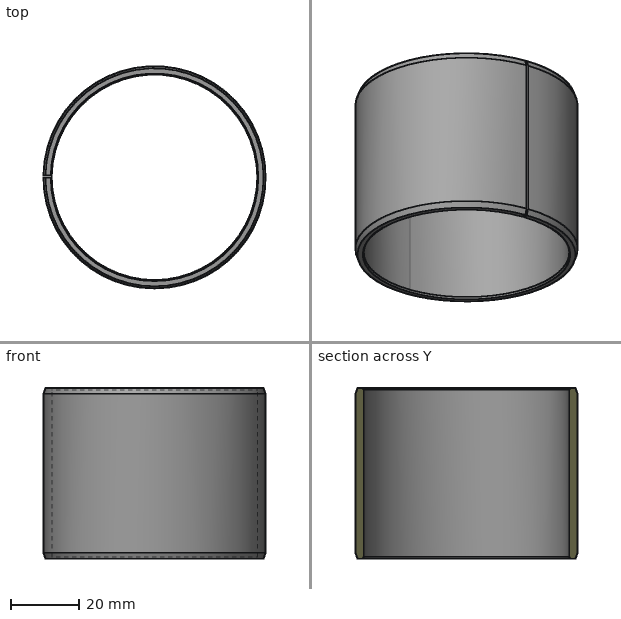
import cadquery as cq
import math

outer_diameter = 65.0
wall_thickness = 2.5
length = 50.0
outer_chamfer_length = 1.8
outer_chamfer_angle = 20.0
inner_chamfer_length = 0.6
inner_chamfer_angle = 30.0
slit_angle = 1.0

outer_radius = outer_diameter / 2
inner_radius = outer_radius - wall_thickness


def chamfer_depth(chamfer_length, angle):
    """Radial depth of a chamfer of the given axial length and angle from the axis."""
    return chamfer_length * math.tan(math.radians(angle))


def chamfered_sleeve():
    """Full tube around Z, chamfered outside and inside at both ends."""
    outer_end_radius = outer_radius - chamfer_depth(outer_chamfer_length, outer_chamfer_angle)
    inner_end_radius = inner_radius + chamfer_depth(inner_chamfer_length, inner_chamfer_angle)
    wall_section = [
        (inner_end_radius, 0),
        (outer_end_radius, 0),
        (outer_radius, outer_chamfer_length),
        (outer_radius, length - outer_chamfer_length),
        (outer_end_radius, length),
        (inner_end_radius, length),
        (inner_radius, length - inner_chamfer_length),
        (inner_radius, inner_chamfer_length),
    ]
    axis_start = (0, 0)
    axis_end = (0, length)
    return cq.Workplane("XZ").polyline(wall_section).close().revolve(360, axis_start, axis_end)


def slit_wedge():
    """Full-length radial wedge through the -X wall, opening from the Y = 0 plane toward +Y."""
    wedge_length = 2 * outer_radius
    wedge_height = wedge_length * math.tan(math.radians(slit_angle))
    outline = [(0, 0), (-wedge_length, wedge_height), (-wedge_length, 0)]
    return cq.Workplane("XY").polyline(outline).close().extrude(length)


result = chamfered_sleeve().cut(slit_wedge())